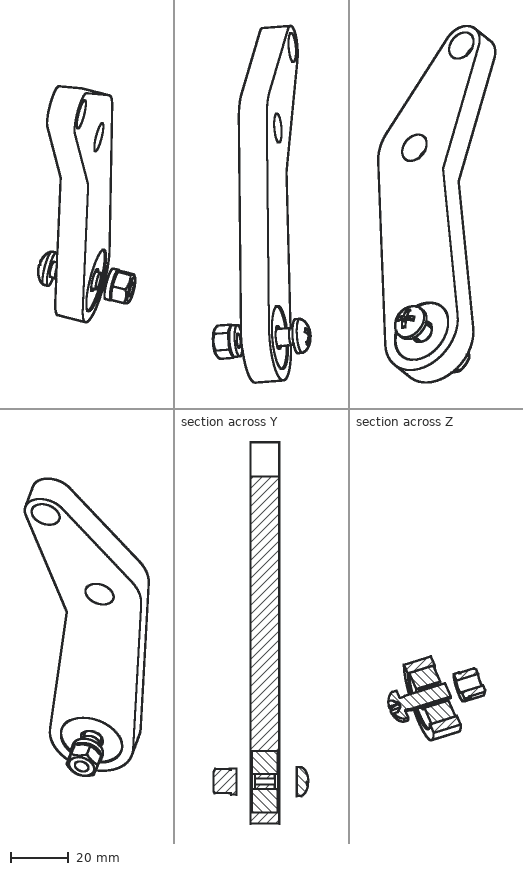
import cadquery as cq
import math


arm_thickness = 10.0
lobe_radius = 15.0
tip_radius = 7.5
middle_y, middle_z = 2.9, 75.0
tip_y, tip_z = -16.4, 109.9
pivot_hole_diameter = 10.0
elbow_y, elbow_z = -8.9, 62.6
elbow_fillet = 2.0

bearing_diameter = 22.0
bushing_diameter = 8.0
bushing_bore = 6.4
bearing_inset = 0.5
bushing_inset = 1.6

head_diameter = 11.9
crown_diameter = 9.5
head_tip_x = -10.7
crown_edge_x = -9.1
head_rim_x = -7.5
head_base_x = -6.0
neck_diameter = 5.4
neck_end_x = -4.8
shank_diameter = 6.0
shank_start_x = -4.0
shank_end_x = 10.9
recess_span = 8.5
recess_slot_width = 1.5
recess_depth = 3.7
recess_turn = 16.5

nut_start_x = 14.8
collar_end_x = 16.8
hex_start_x = 17.2
nut_end_x = 22.9
collar_diameter = 11.0
hex_across_flats = 10.0
hex_turn = 16.5
nut_bore = 4.9
nut_end_diameter = 9.0
nut_chamfer_length = 0.9


def cylinder(diameter, start_x, end_x):
    """Solid cylinder on the screw axis."""
    return cq.Workplane("YZ", origin=(start_x, 0, 0)).circle(diameter / 2).extrude(end_x - start_x)


def on_circle(center, radius, angle):
    """Point on a circle, with the angle measured from +Y towards +Z."""
    return (center[0] + radius * math.cos(angle), center[1] + radius * math.sin(angle))


def tangent_from_point(point, center, radius, side):
    """Angle on the circle where a line from an outside point touches it."""
    dy, dz = point[0] - center[0], point[1] - center[1]
    return math.atan2(dz, dy) + side * math.acos(radius / math.hypot(dy, dz))


def outer_tangent(first, first_radius, second, second_radius):
    """Normal angle of the line touching both circles on their +Y side."""
    dy, dz = second[0] - first[0], second[1] - first[1]
    lean = math.acos((first_radius - second_radius) / math.hypot(dy, dz))
    return math.atan2(dz, dy) - lean


def make_arm():
    base = (0, 0)
    middle = (middle_y, middle_z)
    tip = (tip_y, tip_z)
    elbow = (elbow_y, elbow_z)
    back_lower = outer_tangent(base, lobe_radius, middle, lobe_radius)
    back_upper = outer_tangent(middle, lobe_radius, tip, tip_radius)
    front_upper = tangent_from_point(elbow, tip, tip_radius, -1)
    front_lower = tangent_from_point(elbow, base, lobe_radius, 1)
    middle_bisector = (back_lower + back_upper) / 2

    arm = (
        cq.Workplane("YZ")
        .moveTo(*on_circle(base, lobe_radius, back_lower))
        .lineTo(*on_circle(middle, lobe_radius, back_lower))
        .threePointArc(
            on_circle(middle, lobe_radius, middle_bisector),
            on_circle(middle, lobe_radius, back_upper),
        )
        .lineTo(*on_circle(tip, tip_radius, back_upper))
        .threePointArc((tip_y, tip_z + tip_radius), on_circle(tip, tip_radius, front_upper))
        .lineTo(*elbow)
        .lineTo(*on_circle(base, lobe_radius, front_lower))
        .threePointArc((0, -lobe_radius), on_circle(base, lobe_radius, back_lower))
        .close()
        .extrude(arm_thickness)
    )
    elbow_point = (arm_thickness / 2, elbow_y, elbow_z)
    arm = arm.edges(cq.selectors.NearestToPointSelector(elbow_point)).fillet(elbow_fillet)
    pivot_holes = (
        cq.Workplane("YZ")
        .pushPoints([middle, tip])
        .circle(pivot_hole_diameter / 2)
        .extrude(arm_thickness)
    )
    return arm.cut(pivot_holes).cut(cylinder(bearing_diameter, 0, arm_thickness))


def make_ring(outer_diameter, bore, inset):
    """Ring centred in the arm's thickness, set back from both of its faces."""
    start_x, end_x = inset, arm_thickness - inset
    return cylinder(outer_diameter, start_x, end_x).cut(cylinder(bore, start_x, end_x))


def crown_midpoint():
    """Point halfway along the spherical crown between its tip and its edge."""
    rise = crown_edge_x - head_tip_x
    half_width = crown_diameter / 2
    sphere_radius = (rise**2 + half_width**2) / (2 * rise)
    half_angle = math.asin(half_width / sphere_radius) / 2
    return (
        head_tip_x + sphere_radius * (1 - math.cos(half_angle)),
        sphere_radius * math.sin(half_angle),
    )


def make_cross_recess():
    """Cross-shaped cutter whose arms slope inwards from the crown to a small floor."""
    floor_x = head_tip_x + recess_depth
    arm_pair = (
        cq.Workplane("XY")
        .moveTo(head_tip_x, -recess_span / 2)
        .lineTo(head_tip_x, recess_span / 2)
        .lineTo(floor_x, recess_slot_width / 2)
        .lineTo(floor_x, -recess_slot_width / 2)
        .close()
        .extrude(recess_slot_width / 2, both=True)
    )
    cross = arm_pair.union(arm_pair.rotate((0, 0, 0), (1, 0, 0), 90))
    return cross.rotate((0, 0, 0), (1, 0, 0), recess_turn)


def make_screw():
    profile = (
        cq.Workplane("XY")
        .moveTo(head_tip_x, 0)
        .threePointArc(crown_midpoint(), (crown_edge_x, crown_diameter / 2))
        .tangentArcPoint((head_rim_x, head_diameter / 2), relative=False)
        .lineTo(head_base_x, head_diameter / 2)
        .lineTo(head_base_x, neck_diameter / 2)
        .lineTo(neck_end_x, neck_diameter / 2)
        .lineTo(shank_start_x, shank_diameter / 2)
        .lineTo(shank_end_x, shank_diameter / 2)
        .lineTo(shank_end_x, 0)
        .close()
    )
    screw = profile.revolve(360, (0, 0, 0), (1, 0, 0))
    return screw.cut(make_cross_recess())


def make_hexagon():
    """Hexagon with its far corners cut back by a cone."""
    corner_diameter = hex_across_flats / math.cos(math.pi / 6)
    hexagon = (
        cq.Workplane("YZ", origin=(hex_start_x, 0, 0))
        .polygon(6, corner_diameter)
        .extrude(nut_end_x - hex_start_x)
        .rotate((0, 0, 0), (1, 0, 0), 90 - hex_turn)
    )
    envelope = (
        cylinder(corner_diameter, hex_start_x, nut_end_x)
        .faces(">X")
        .chamfer(nut_chamfer_length, (corner_diameter - nut_end_diameter) / 2)
    )
    return hexagon.intersect(envelope)


def make_nut():
    collar = cylinder(collar_diameter, nut_start_x, collar_end_x)
    groove = cylinder(hex_across_flats, collar_end_x, hex_start_x)
    bore = cylinder(nut_bore, nut_start_x, nut_end_x)
    return collar.union(groove).union(make_hexagon()).cut(bore)


arm = make_arm()
bearing = make_ring(bearing_diameter, bushing_diameter, bearing_inset)
bushing = make_ring(bushing_diameter, bushing_bore, bushing_inset)
screw = make_screw()
nut = make_nut()

result = cq.Compound.makeCompound([arm.val(), bearing.val(), bushing.val(), screw.val(), nut.val()])